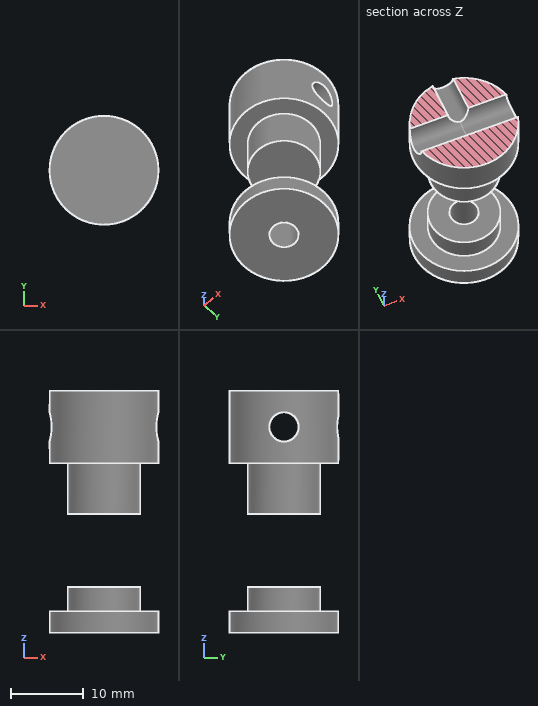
import cadquery as cq

outer_diameter = 15.0
neck_diameter = 10.0
bore_diameter = 4.0
side_hole_diameter = 3.0

flange_height = 3.0
boss_height = 3.33
gap_height = 10.0
stem_height = 7.0
head_height = 10.0

collar_height = flange_height + boss_height
stem_bottom = collar_height + gap_height
head_bottom = stem_bottom + stem_height
cross_bore_height = head_bottom + head_height / 2


def cylinder(diameter, height, bottom):
    """Upright cylinder centred on the Z axis."""
    return cq.Workplane("XY").workplane(offset=bottom).circle(diameter / 2).extrude(height)


def make_collar():
    """Round flange with a raised boss and a through bore."""
    flange = cylinder(outer_diameter, flange_height, 0)
    boss = cylinder(neck_diameter, boss_height, flange_height)
    bore = cylinder(bore_diameter, collar_height, 0)
    return flange.union(boss).cut(bore)


def make_post():
    """Solid head on a narrower stem, drilled across the head."""
    head = cylinder(outer_diameter, head_height, head_bottom)
    stem = cylinder(neck_diameter, stem_height, stem_bottom)

    cross_bore = (
        cq.Workplane("YZ", origin=(0, 0, cross_bore_height))
        .circle(bore_diameter / 2)
        .extrude(outer_diameter / 2, both=True)
    )

    side_hole = (
        cq.Workplane("XZ", origin=(0, 0, cross_bore_height))
        .circle(side_hole_diameter / 2)
        .extrude(-outer_diameter / 2)
    )
    return head.union(stem).cut(cross_bore).cut(side_hole)


collar = make_collar()
post = make_post()

result = cq.Compound.makeCompound([collar.solids().val(), post.solids().val()])